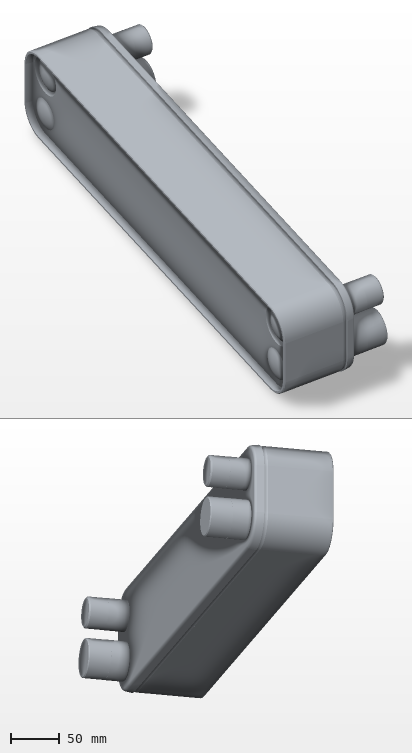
import cadquery as cq
import math


length = 527.5
height = 113.0
depth = 128.5

pack_back = 70.0
skirt_back = 74.5
plate_back = 84.5

plate_corner_radius = 31.0
pack_corner_radius = 29.5
pack_inset = 1.0
plate_taper = 1.5
skirt_taper = 1.5
plate_edge_radius = 3.0
rim_chamfer = 1.0

rim_width = 3.0
pan_depth = 8.0
pan_taper = 1.0

port_x = 233.0
port_z = 25.0
large_diameter = 41.5
large_step_y = 105.0
small_diameter = 33.0
small_step_y = 106.5
end_relief = 0.1
small_setback = 1.5
large_chamfer = 1.0
small_chamfer = 1.5

dome_radius = 18.0
dome_height = 5.5
dimple_radius = 21.5
dimple_depth = 3.0


def facing_back(y):
    """Workplane at Y = y whose normal points to +Y and whose local y is +Z."""
    return cq.Workplane(cq.Plane(origin=(0, y, 0), xDir=(-1, 0, 0), normal=(0, 1, 0)))


def rounded_layer(y_front, y_back, inset, corner_radius, taper_inset):
    """Rounded slab between two Y planes, inset from the overall outline.

    Going towards +Y, each side draws in by taper_inset.
    """
    thickness = y_back - y_front
    outline = cq.Sketch().rect(length - 2 * inset, height - 2 * inset)
    outline = outline.vertices().fillet(corner_radius)
    taper_angle = math.degrees(math.atan2(taper_inset, thickness))
    return facing_back(y_front).placeSketch(outline).extrude(thickness, taper=taper_angle)


def dome_arc_middle():
    """Point halfway along the dome's arc, in its radius and height coordinates."""
    sphere_radius = (dome_radius**2 + dome_height**2) / (2 * dome_height)
    half_angle = math.asin(dome_radius / sphere_radius) / 2
    centre = sphere_radius - dome_height
    return sphere_radius * math.sin(half_angle), centre - sphere_radius * math.cos(half_angle)


def dome(x, z, y_base):
    """Spherical dome bulging towards -Y from a base circle at Y = y_base."""
    profile = (
        cq.Workplane("XY", origin=(x, y_base, z))
        .lineTo(dome_radius, 0)
        .threePointArc(dome_arc_middle(), (0, -dome_height))
        .close()
    )
    return profile.revolve(360, (0, 0, 0), (0, 1, 0))


def dimple(x, z):
    """Conical recess in the pan floor, as wide as the dome at its bottom."""
    profile = cq.Workplane("XY", origin=(x, pan_depth, z)).polyline(
        [(0, 0), (dimple_radius, 0), (dome_radius, dimple_depth), (0, dimple_depth)]
    )
    return profile.close().revolve(360, (0, 0, 0), (0, 1, 0))


def make_pack():
    """Plate pack with a drafted front pan and four domes embossed on the pan floor."""
    pack = rounded_layer(0, pack_back, pack_inset, pack_corner_radius, 0)
    pack = pack.faces("<Y").edges().chamfer(rim_chamfer)
    pan_corner_radius = pack_corner_radius - rim_width
    pan = rounded_layer(0, pan_depth, pack_inset + rim_width, pan_corner_radius, pan_taper)
    pack = pack.cut(pan)
    for x in (-port_x, port_x):
        pack = pack.cut(dimple(x, port_z))
        pack = pack.union(dome(x, port_z, pan_depth + dimple_depth))
        pack = pack.union(dome(x, -port_z, pan_depth))
    return pack


def make_skirt_plate():
    """Plate behind the pack, flaring out to the pack outline at its front."""
    return rounded_layer(pack_back, skirt_back, pack_inset, pack_corner_radius, skirt_taper)


def make_back_plate():
    """End plate flaring out to the overall outline at its front, with a rounded back edge."""
    plate = rounded_layer(skirt_back, plate_back, 0, plate_corner_radius, plate_taper)
    return plate.faces(">Y").edges().fillet(plate_edge_radius)


def stepped_stub(x, z, diameter, step_y, end_y):
    """Round stub on the back plate whose free end is turned down slightly beyond step_y."""
    root = facing_back(plate_back).center(-x, z).circle(diameter / 2).extrude(step_y - plate_back)
    end = facing_back(step_y).center(-x, z).circle(diameter / 2 - end_relief)
    return root.union(end.extrude(end_y - step_y))


def make_large_connection(x):
    """Lower connection, chamfered at both ends."""
    stub = stepped_stub(x, -port_z, large_diameter, large_step_y, depth)
    return stub.faces("<Y or >Y").chamfer(large_chamfer)


def make_small_connection(x):
    """Upper connection, slightly shorter and chamfered at its free end."""
    stub = stepped_stub(x, port_z, small_diameter, small_step_y, depth - small_setback)
    return stub.faces(">Y").chamfer(small_chamfer)


pack = make_pack()
skirt_plate = make_skirt_plate()
back_plate = make_back_plate()
connections = []
for x in (-port_x, port_x):
    connections.append(make_large_connection(x).val())
    connections.append(make_small_connection(x).val())

result = cq.Compound.makeCompound([pack.val(), skirt_plate.val(), back_plate.val(), *connections])